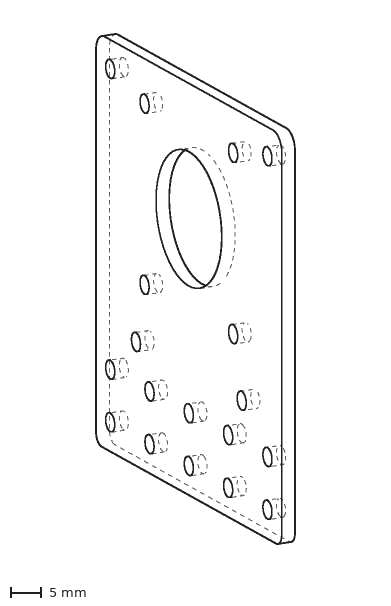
import cadquery as cq

width = 65.0
thickness = 2.5
height = 70.45
top_corner_radius = 3.0
bottom_corner_radius = 2.0

motor_z = 12.05
motor_opening_diameter = 23.0
motor_screw_spacing = 31.0

hole_diameter = 3.2
edge_margin = 5.0
row_half_width = width / 2 - edge_margin
top_row_z = height / 2 - edge_margin
bottom_row_z = -top_row_z
row_spacing = 9.0
row_hole_count = 5
row_pitch = 2 * row_half_width / (row_hole_count - 1)
side_pair_spacing = 37.0
side_pair_z = -14.0


def make_plate():
    """Plate centred on the origin, with larger radii on its top corners."""
    plate = cq.Workplane("XY").box(width, thickness, height)
    plate = plate.faces(">Z").edges("|Y").fillet(top_corner_radius)
    return plate.faces("<Z").edges("|Y").fillet(bottom_corner_radius)


def hole_cutter(points, diameter):
    """Cylinders along Y at the given (x, z) points, through the plate."""
    return (
        cq.Workplane("XZ", origin=(0, thickness / 2, 0))
        .pushPoints(points)
        .circle(diameter / 2)
        .extrude(thickness)
    )


def small_hole_points():
    """Centres of the corner, motor screw, side pair and bottom row holes."""
    points = []
    for side in (-1, 1):
        points.append((side * row_half_width, top_row_z))
        points.append((side * side_pair_spacing / 2, side_pair_z))
        for level in (-1, 1):
            screw_x = side * motor_screw_spacing / 2
            screw_z = motor_z + level * motor_screw_spacing / 2
            points.append((screw_x, screw_z))
    for row_z in (bottom_row_z, bottom_row_z + row_spacing):
        for column in range(row_hole_count):
            points.append((-row_half_width + column * row_pitch, row_z))
    return points


result = (
    make_plate()
    .cut(hole_cutter([(0, motor_z)], motor_opening_diameter))
    .cut(hole_cutter(small_hole_points(), hole_diameter))
)